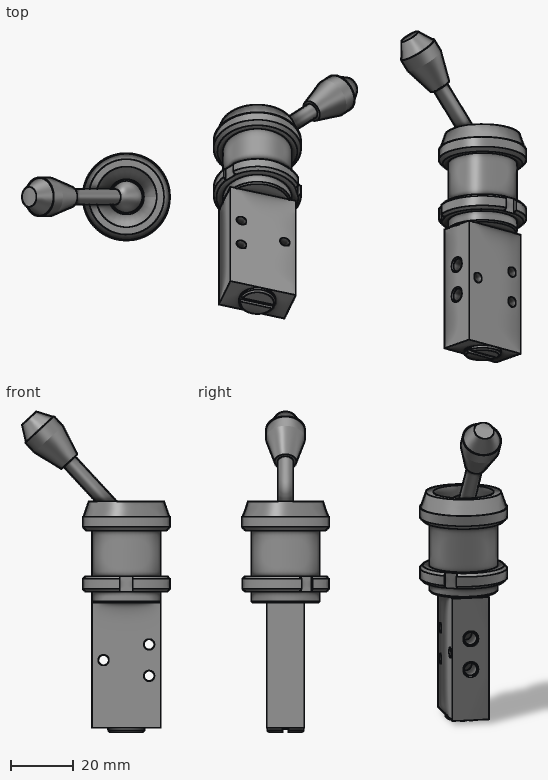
import cadquery as cq

block_width = 22.0
block_depth = 12.0
block_bottom = 1.4
block_height = 40.0
block_top = block_bottom + block_height

mount_hole_diameter = 3.3
mount_hole_x = 7.3
port_diameter = 4.1
port_mouth_diameter = 5.0
port_depth = 8.2
middle_hole_z = 23.1
hole_half_pitch = 5.0
paired_hole_heights = [middle_hole_z - hole_half_pitch, middle_hole_z + hole_half_pitch]

plug_diameter = 11.8
plug_chamfer = 0.6
plug_slot_width = 1.8
plug_slot_depth = 1.0

neck_diameter = block_width
neck_bottom_chamfer = 0.5
head_diameter = 28.0
head_bottom = 64.4
head_bottom_chamfer = 1.2
head_cone_start = 68.9
head_cone_diameter = 27.5
head_top = 73.8
head_top_diameter = 24.1
dish_diameter = 19.4
dish_floor_diameter = 11.3
dish_floor = 69.8

nut_diameter = head_diameter
nut_bottom = 44.9
nut_height = 5.0
nut_chamfer = 0.9
notch_width = 4.1
notch_floor_radius = 12.8
notch_count = 3

lever_tilt = 42.8
ball_center_z = 66.8
ball_diameter = 11.8
rod_diameter = 5.0
knob_start = 26.8
knob_start_diameter = 7.0
knob_wide_start = 36.6
knob_wide_end = 40.8
knob_diameter = 12.5
knob_tip_diameter = 12.0
knob_end = 45.7
knob_end_diameter = 6.4


def make_block():
    """Rectangular block with cross holes and two ports in the -X side."""
    block = cq.Workplane("XY", origin=(0, 0, block_bottom)).box(
        block_width, block_depth, block_height, centered=(True, True, False)
    )
    hole_places = [(-mount_hole_x, middle_hole_z)]
    hole_places += [(mount_hole_x, z) for z in paired_hole_heights]
    holes = (
        cq.Workplane("XZ")
        .pushPoints(hole_places)
        .circle(mount_hole_diameter / 2)
        .extrude(block_depth, both=True)
    )
    block = block.cut(holes)
    for z in paired_hole_heights:
        block = block.cut(make_port(z))
    return block


def make_port(z):
    """Cutter for a blind port with a 45 degree countersunk mouth."""
    port_radius = port_diameter / 2
    mouth_radius = port_mouth_diameter / 2
    mouth_depth = mouth_radius - port_radius
    outline = [
        (0, 0),
        (0, mouth_radius),
        (mouth_depth, port_radius),
        (port_depth, port_radius),
        (port_depth, 0),
    ]
    return (
        cq.Workplane("XZ", origin=(-block_width / 2, 0, z))
        .polyline(outline)
        .close()
        .revolve(360, (0, 0), (1, 0))
    )


def make_plug():
    """Chamfered disc under the block, with a screwdriver slot along X."""
    plug = cq.Workplane("XY").circle(plug_diameter / 2).extrude(block_bottom)
    plug = plug.faces("<Z").chamfer(plug_chamfer)
    slot = cq.Workplane("XY").box(
        plug_diameter, plug_slot_width, plug_slot_depth, centered=(True, True, False)
    )
    return plug.cut(slot)


def make_neck_and_head():
    """Turned neck and head with a conical dish in the top."""
    neck_radius = neck_diameter / 2
    head_radius = head_diameter / 2
    outline = [
        (0, block_top),
        (neck_radius - neck_bottom_chamfer, block_top),
        (neck_radius, block_top + neck_bottom_chamfer),
        (neck_radius, head_bottom),
        (head_radius - head_bottom_chamfer, head_bottom),
        (head_radius, head_bottom + head_bottom_chamfer),
        (head_radius, head_cone_start),
        (head_cone_diameter / 2, head_cone_start),
        (head_top_diameter / 2, head_top),
        (dish_diameter / 2, head_top),
        (dish_floor_diameter / 2, dish_floor),
        (0, dish_floor),
    ]
    return cq.Workplane("XZ").polyline(outline).close().revolve(360, (0, 0), (0, 1))


def make_lever():
    """Ball, rod and knob, leaning toward -X about the ball centre."""
    rod_radius = rod_diameter / 2
    outline = [
        (0, 0),
        (rod_radius, 0),
        (rod_radius, knob_start),
        (knob_start_diameter / 2, knob_start),
        (knob_diameter / 2, knob_wide_start),
        (knob_diameter / 2, knob_wide_end),
        (knob_tip_diameter / 2, knob_wide_end),
        (knob_end_diameter / 2, knob_end),
        (0, knob_end),
    ]
    handle = cq.Workplane("XZ").polyline(outline).close().revolve(360, (0, 0), (0, 1))
    handle = handle.rotate((0, 0, 0), (0, 1, 0), -lever_tilt)
    ball = cq.Workplane("XY").sphere(ball_diameter / 2)
    return handle.union(ball).translate((0, 0, ball_center_z))


def make_valve():
    """Block, plug, neck, head and lever as one solid."""
    return make_block().union(make_plug()).union(make_neck_and_head()).union(make_lever())


def make_nut():
    """Ring nut around the neck, with evenly spaced notches in its rim."""
    nut = cq.Workplane("XY", origin=(0, 0, nut_bottom)).circle(nut_diameter / 2).extrude(nut_height)
    nut = nut.faces("<Z or >Z").chamfer(nut_chamfer)
    bore = cq.Workplane("XY", origin=(0, 0, nut_bottom)).circle(neck_diameter / 2).extrude(nut_height)
    nut = nut.cut(bore)
    notch_depth = nut_diameter / 2 - notch_floor_radius
    notch_center = notch_floor_radius + notch_depth / 2
    notch = cq.Workplane("XY", origin=(0, -notch_center, nut_bottom)).box(
        notch_width, notch_depth, nut_height, centered=(True, True, False)
    )
    for index in range(notch_count):
        nut = nut.cut(notch.rotate((0, 0, 0), (0, 0, 1), index * 360 / notch_count))
    return nut


valve = make_valve()
nut = make_nut()
result = cq.Compound.makeCompound([valve.val(), nut.val()])